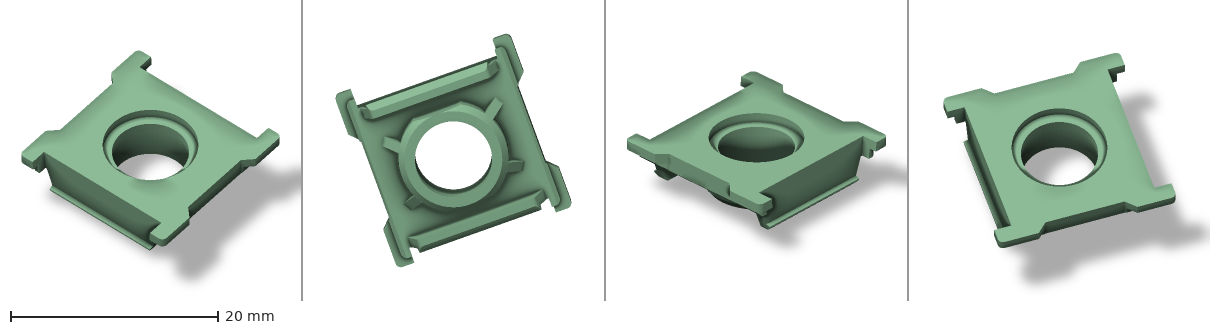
import cadquery as cq

side = 18.0
half_side = side / 2
flange_thickness = 1.0
corner_radius = 0.54
waist_half_width = 8.01
waist_half_length = 4.01
waist_flare = half_side - waist_half_width

tier_half_side = 8.15
tier_bottom = -2.15
tier_chamfer = 0.41

end_face = 7.25
slot_half_width_top = 7.35
slot_half_width_bottom = 7.16

plate_inner_top = 6.23
plate_inner_bottom = 6.3
plate_bottom = -4.91
plate_half_width_top = 6.98
plate_half_width_bottom = 6.0
plate_corner_radius = 0.5
lip_tip = 7.7
lip_root_z = -4.01
lip_tip_top_z = -4.14
lip_tip_bottom_z = -4.32
lip_foot = 7.07

boss_bottom = -5.25
boss_radius = 5.31
boss_half_flats = 4.7
boss_taper_top = -4.5
boss_tip_radius = 4.72
hole_radius = 3.73
counterbore_radius = 4.63
counterbore_depth = 1.0

rib_thickness = 0.97
rib_reach = 6.91
rib_angle = 30.0


def make_flanged_body():
    """Flange and tier sharing one waisted outline, with the lower X edges of the tier chamfered."""
    waist_end = waist_half_length + waist_flare
    outline = (
        cq.Workplane("XY")
        .rect(side, side)
        .extrude(tier_bottom)
        .edges("|Z")
        .fillet(corner_radius)
    )
    for sign in (-1, 1):
        waist = (
            cq.Workplane("XY")
            .polyline([
                (sign * half_side, -waist_end),
                (sign * waist_half_width, -waist_half_length),
                (sign * waist_half_width, waist_half_length),
                (sign * half_side, waist_end),
            ])
            .close()
            .extrude(tier_bottom)
        )
        outline = outline.cut(waist)

    flange = cq.Workplane("XY").rect(side, side).extrude(-flange_thickness)
    tier = (
        cq.Workplane("XY")
        .rect(2 * tier_half_side, 2 * tier_half_side)
        .extrude(tier_bottom)
        .edges("|Z")
        .fillet(corner_radius)
    )
    chamfer_start = tier_bottom + tier_chamfer
    tier_foot = tier_half_side - tier_chamfer
    tier_profile = (
        cq.Workplane("XZ")
        .polyline([
            (-tier_half_side, 0),
            (-tier_half_side, chamfer_start),
            (-tier_foot, tier_bottom),
            (tier_foot, tier_bottom),
            (tier_half_side, chamfer_start),
            (tier_half_side, 0),
        ])
        .close()
        .extrude(half_side, both=True)
    )
    return outline.intersect(flange.union(tier.intersect(tier_profile)))


def make_end_slots():
    """Openings between the ears, narrowing downwards."""
    slot_section = (
        cq.Workplane("XZ")
        .polyline([
            (-slot_half_width_top, 0),
            (-slot_half_width_bottom, tier_bottom),
            (slot_half_width_bottom, tier_bottom),
            (slot_half_width_top, 0),
        ])
        .close()
        .extrude(half_side, both=True)
    )
    core = cq.Workplane("XY").box(side, 2 * end_face, side)
    return slot_section.cut(core)


def make_snap_plate():
    """Tapered plate at the +Y end with an outward snap lip along its lower edge."""
    section = (
        cq.Workplane("YZ")
        .polyline([
            (plate_inner_top, tier_bottom),
            (end_face, tier_bottom),
            (end_face, lip_root_z),
            (lip_tip, lip_tip_top_z),
            (lip_tip, lip_tip_bottom_z),
            (lip_foot, plate_bottom),
            (plate_inner_bottom, plate_bottom),
        ])
        .close()
        .extrude(half_side, both=True)
    )
    face = (
        cq.Workplane("XZ")
        .polyline([
            (-plate_half_width_top, tier_bottom),
            (-plate_half_width_bottom, plate_bottom),
            (plate_half_width_bottom, plate_bottom),
            (plate_half_width_top, tier_bottom),
        ])
        .close()
        .extrude(-half_side)
        .edges("|Y and <Z")
        .fillet(plate_corner_radius)
    )
    return section.intersect(face)


def make_boss():
    """Round boss with a tapered tip and a flat on each Y side."""
    boss = (
        cq.Workplane("XZ")
        .polyline([
            (0, tier_bottom),
            (boss_radius, tier_bottom),
            (boss_radius, boss_taper_top),
            (boss_tip_radius, boss_bottom),
            (0, boss_bottom),
        ])
        .close()
        .revolve(360, (0, 0), (0, 1))
    )
    flats = cq.Workplane("XY").box(side, 2 * boss_half_flats, side)
    return boss.intersect(flats)


def make_rib(angle):
    """Triangular gusset pointing out from the boss at the given angle about Z."""
    return (
        cq.Workplane("XZ")
        .polyline([
            (hole_radius, tier_bottom),
            (rib_reach, tier_bottom),
            (boss_radius, boss_taper_top),
            (hole_radius, boss_taper_top),
        ])
        .close()
        .extrude(rib_thickness / 2, both=True)
        .rotate((0, 0, 0), (0, 0, 1), angle)
    )


snap_plate = make_snap_plate()
result = make_flanged_body().cut(make_end_slots())
result = result.union(snap_plate).union(snap_plate.mirror("XZ")).union(make_boss())
for angle in (rib_angle, 180 - rib_angle, 180 + rib_angle, -rib_angle):
    result = result.union(make_rib(angle))

hole = cq.Workplane("XY").circle(hole_radius).extrude(boss_bottom)
counterbore = cq.Workplane("XY").circle(counterbore_radius).extrude(-counterbore_depth)
result = result.cut(hole).cut(counterbore)